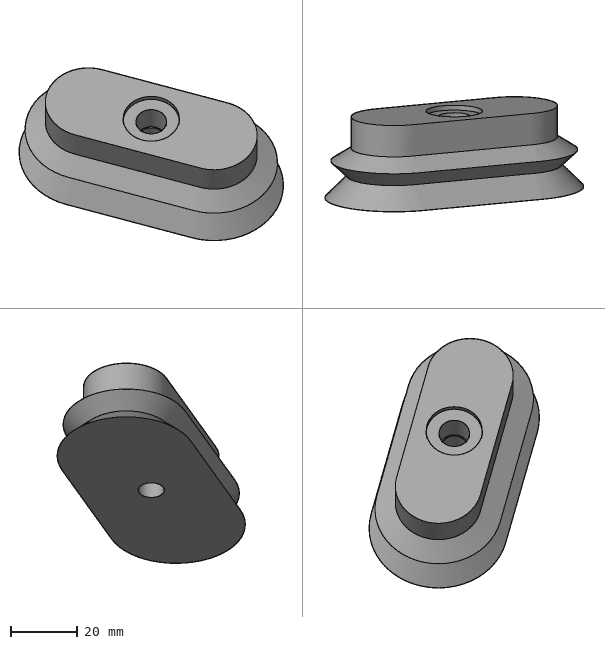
import cadquery as cq

TOTAL_LENGTH = 82.0
TOTAL_WIDTH = 42.0
TOTAL_HEIGHT = 25.0
STRAIGHT_LENGTH = TOTAL_LENGTH - TOTAL_WIDTH

LIP_RADIUS = TOTAL_WIDTH / 2
NECK_RADIUS = 14.3
RIDGE_RADIUS = 19.2
BLOCK_RADIUS = 13.0

NECK_Z = LIP_RADIUS - NECK_RADIUS
RIDGE_Z = 11.4
BLOCK_Z = 15.3

COUNTERBORE_RADIUS = 17.0 / 2
COUNTERBORE_DEPTH = 1.5
BORE_TOP_RADIUS = 9.2 / 2
BORE_BOTTOM_RADIUS = 8.7 / 2
BORE_LENGTH = 8.2
THROUGH_RADIUS = 7.9 / 2

BELLOWS_PROFILE = [
    (LIP_RADIUS, 0),
    (NECK_RADIUS, NECK_Z),
    (RIDGE_RADIUS, RIDGE_Z),
    (BLOCK_RADIUS, BLOCK_Z),
    (BLOCK_RADIUS, TOTAL_HEIGHT),
]


def turned_solid(profile, x=0):
    """Solid turned from (radius, height) points about the vertical axis at x.

    The profile runs from the bottom of the part to the top.
    """
    outline = [(0, 0)] + profile + [(0, TOTAL_HEIGHT)]
    solid = cq.Workplane("XZ").polyline(outline).close().revolve(360, (0, 0), (0, 1))
    return solid.translate((x, 0, 0))


def straight_middle():
    """Bellows profile, mirrored about the axis, along the straight length."""
    mirrored_profile = [(-radius, z) for radius, z in reversed(BELLOWS_PROFILE)]
    section = cq.Workplane("YZ").polyline(BELLOWS_PROFILE + mirrored_profile).close()
    return section.extrude(STRAIGHT_LENGTH / 2, both=True)


def central_hole():
    """Vertical through hole with its tapered bore and counterbore."""
    bore_top = TOTAL_HEIGHT - COUNTERBORE_DEPTH
    bore_bottom = bore_top - BORE_LENGTH
    profile = [
        (THROUGH_RADIUS, 0),
        (THROUGH_RADIUS, bore_bottom),
        (BORE_BOTTOM_RADIUS, bore_bottom),
        (BORE_TOP_RADIUS, bore_top),
        (COUNTERBORE_RADIUS, bore_top),
        (COUNTERBORE_RADIUS, TOTAL_HEIGHT),
    ]
    return turned_solid(profile)


body = straight_middle()
for end_x in (-STRAIGHT_LENGTH / 2, STRAIGHT_LENGTH / 2):
    body = body.union(turned_solid(BELLOWS_PROFILE, end_x))

result = body.cut(central_hole())